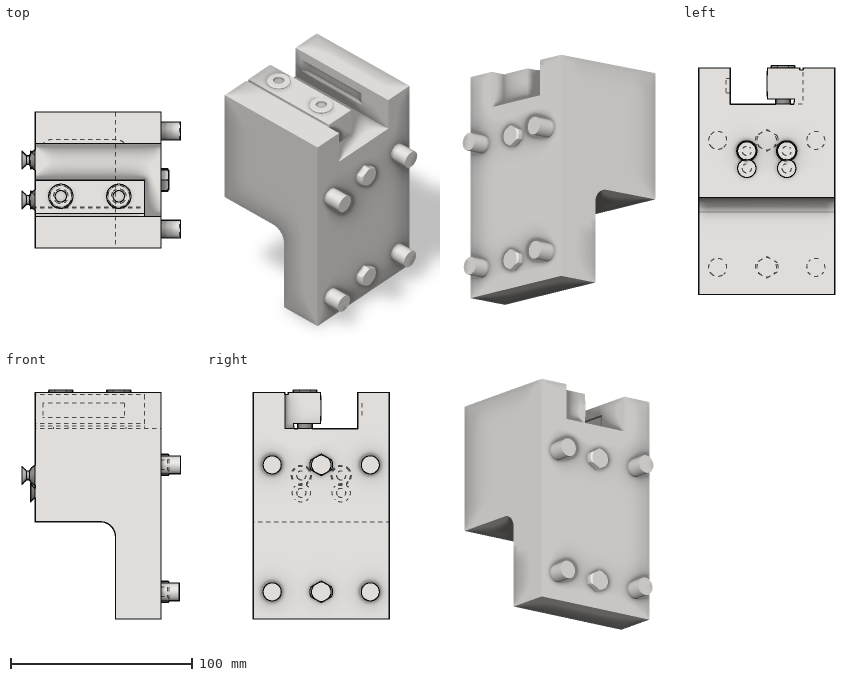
import cadquery as cq
import math


block_length = 69.5
block_width = 75.0
block_top = 125.0
overhang_bottom = 53.6
column_thickness = 25.3
inner_corner_radius = 8.1

slot_width = 40.2
slot_depth = 20.0
slot_floor = block_top - slot_depth
jaw_length = 60.4
jaw_width = 19.7
jaw_face_bulge = 0.4
jaw_floor_gap = 2.8
jaw_foot_width = 5.2
foot_relief_width = 0.4
foot_relief_height = 1.3
jaw_groove_width = 1.8
jaw_groove_depth = 1.0

screw_first_x = 14.2
screw_spacing = 32.0
screw_y = -9.0
stem_diameter = 8.1
screw_head_top = 126.4
head_rim_radius = 6.7
screw_socket_diameter = 6.3
screw_socket_depth = 1.4

recess_start_x = 4.3
recess_length = 45.1
recess_depth = 2.3
recess_runout = 5.2
recess_top_offset = 5.8
recess_height = 8.0

stud_spacing = 22.0
upper_stud_z = 79.2
lower_stud_z = 69.6
upper_stud_reach = 7.3
lower_stud_reach = 2.5
stud_rim_radius = 5.0
stud_neck_radius = 2.5
ball_radius = 6.1
ball_center_x = 2.4

upper_row_z = 85.0
lower_row_z = 15.0
pin_spacing = 54.1
pin_diameter = 10.0
upper_pin_length = 10.7
lower_pin_length = 10.0
key_diameter = 12.5
key_half_height = 6.0
key_flank_angle = 30.0
key_length = 4.3
key_chamfer = 0.9


def make_bracket():
    """L-shaped block with a rounded inner corner and a slot across the top."""
    column_face = block_length - column_thickness
    bracket = (
        cq.Workplane("XZ")
        .moveTo(0, block_top)
        .lineTo(block_length, block_top)
        .lineTo(block_length, 0)
        .lineTo(column_face, 0)
        .lineTo(column_face, overhang_bottom - inner_corner_radius)
        .radiusArc((column_face - inner_corner_radius, overhang_bottom), -inner_corner_radius)
        .lineTo(0, overhang_bottom)
        .close()
        .extrude(block_width / 2, both=True)
    )
    slot = (
        cq.Workplane("XY", origin=(block_length / 2, 0, slot_floor))
        .rect(block_length, slot_width)
        .extrude(slot_depth)
    )
    return bracket.cut(slot)


def make_wall_recess():
    """Flat-bottomed recess whose ends sweep tangentially out to the wall."""
    wall_y = slot_width / 2
    back_y = wall_y + recess_depth
    end_x = recess_start_x + recess_length
    runout_radius = (recess_runout**2 + recess_depth**2) / (2 * recess_depth)
    return (
        cq.Workplane("XY")
        .workplane(offset=block_top - recess_top_offset - recess_height)
        .moveTo(recess_start_x, wall_y)
        .radiusArc((recess_start_x + recess_runout, back_y), runout_radius)
        .lineTo(end_x - recess_runout, back_y)
        .radiusArc((end_x, wall_y), runout_radius)
        .close()
        .extrude(recess_height)
    )


def make_jaw():
    """Jaw with a slightly bulged face, a relieved foot and a groove along its top edge."""
    wall_y = -slot_width / 2
    foot_y = wall_y + jaw_foot_width
    jaw_bottom = slot_floor + jaw_floor_gap
    relief_y = foot_y - foot_relief_width
    relief_z = jaw_bottom - foot_relief_height
    groove_y = wall_y + jaw_groove_width
    groove_z = block_top - jaw_groove_depth
    face_y = wall_y + jaw_width
    face_mid_z = (jaw_bottom + block_top) / 2
    return (
        cq.Workplane("YZ")
        .moveTo(wall_y, slot_floor)
        .lineTo(foot_y, slot_floor)
        .lineTo(foot_y, relief_z)
        .lineTo(relief_y, relief_z)
        .lineTo(relief_y, jaw_bottom)
        .lineTo(face_y, jaw_bottom)
        .threePointArc((face_y + jaw_face_bulge, face_mid_z), (face_y, block_top))
        .lineTo(groove_y, block_top)
        .lineTo(groove_y, groove_z)
        .lineTo(wall_y, groove_z)
        .close()
        .extrude(jaw_length)
    )


def make_jaw_screw(x):
    """Screw with a round-rimmed head above the jaw and a stem below it."""
    head_height = screw_head_top - block_top
    head_flat_radius = head_rim_radius - head_height / 2
    head = (
        cq.Workplane("XZ")
        .moveTo(0, 0)
        .lineTo(head_flat_radius, 0)
        .threePointArc((head_rim_radius, head_height / 2), (head_flat_radius, head_height))
        .lineTo(0, head_height)
        .close()
        .revolve(360, (0, 0, 0), (0, 1, 0))
        .translate((x, screw_y, block_top))
    )
    stem = (
        cq.Workplane("XY", origin=(x, screw_y, slot_floor))
        .circle(stem_diameter / 2)
        .extrude(jaw_floor_gap)
    )
    return head.union(stem)


def make_screw_socket(x):
    """Round socket sunk into the head of a jaw screw."""
    return (
        cq.Workplane("XY", origin=(x, screw_y, screw_head_top - screw_socket_depth))
        .circle(screw_socket_diameter / 2)
        .extrude(screw_socket_depth)
    )


def make_stud(y, z, reach):
    """Stud flaring at 45 degrees from a neck to a flat end at the given reach."""
    flare_length = stud_rim_radius - stud_neck_radius
    return (
        cq.Workplane("XY")
        .moveTo(-reach, 0)
        .lineTo(-reach, stud_rim_radius)
        .lineTo(flare_length - reach, stud_neck_radius)
        .lineTo(ball_center_x, stud_neck_radius)
        .lineTo(ball_center_x, 0)
        .close()
        .revolve(360, (0, 0, 0), (1, 0, 0))
        .translate((0, y, z))
    )


def make_ball(y, z):
    """Ball seated in the block, standing out around the neck of a stud."""
    return cq.Workplane("XY", origin=(ball_center_x, y, z)).sphere(ball_radius)


def make_pin(y, z, length):
    """Plain cylindrical mounting pin."""
    return cq.Workplane("YZ", origin=(block_length, y, z)).circle(pin_diameter / 2).extrude(length)


def make_key(z):
    """Diamond key with ridges at top and bottom and round lands on its sides."""
    half_diagonal = key_half_height / math.tan(math.radians(key_flank_angle))
    plane = cq.Workplane("YZ", origin=(block_length, 0, z))
    diamond = (
        plane.polyline(
            [
                (0, key_half_height),
                (half_diagonal, 0),
                (0, -key_half_height),
                (-half_diagonal, 0),
            ]
        )
        .close()
        .extrude(key_length)
    )
    bevelled_round = (
        plane.circle(key_diameter / 2).extrude(key_length).faces(">X").chamfer(key_chamfer)
    )
    return diamond.intersect(bevelled_round)


result = make_bracket().cut(make_wall_recess()).union(make_jaw())

for screw_x in (screw_first_x, screw_first_x + screw_spacing):
    result = result.union(make_jaw_screw(screw_x)).cut(make_screw_socket(screw_x))

for stud_y in (-stud_spacing / 2, stud_spacing / 2):
    result = result.union(make_ball(stud_y, upper_stud_z))
    result = result.union(make_stud(stud_y, upper_stud_z, upper_stud_reach))
    result = result.union(make_stud(stud_y, lower_stud_z, lower_stud_reach))

for row_z, pin_length in ((upper_row_z, upper_pin_length), (lower_row_z, lower_pin_length)):
    result = result.union(make_key(row_z))
    for pin_y in (-pin_spacing / 2, pin_spacing / 2):
        result = result.union(make_pin(pin_y, row_z, pin_length))